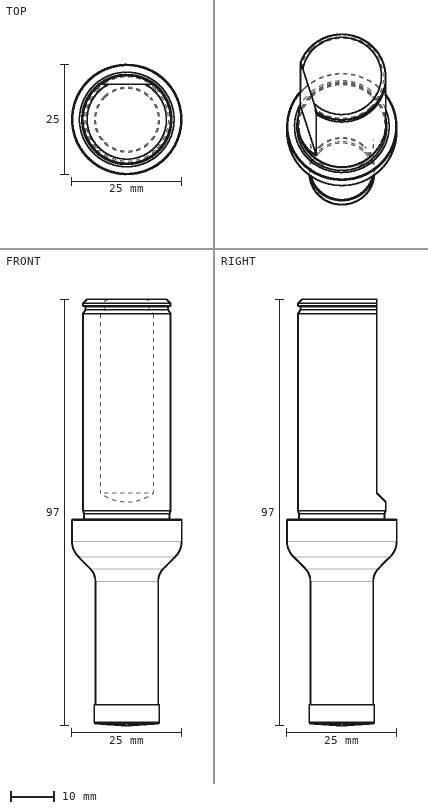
import cadquery as cq
import math

total_height = 97.0
tip_edge_z = 0.5
tip_chamfer = 0.3
tip_top_z = 4.85
stem_top_z = 32.9
flange_bottom_z = 42.0
flange_top_z = 46.9
relief_top_z = 48.9

stem_radius = 14.4 / 2
tip_radius = 14.8 / 2
flange_radius = 25.0 / 2
relief_radius = 19.5 / 2
shank_radius = 20.0 / 2

flare_angle = math.radians(45)
flare_lower_radius = 4.1
flange_chamfer = 0.2

relief_taper_height = 0.7
undercut_radius = 10.8
undercut_depth = 0.2
undercut_fillet = 0.5

end_chamfer = 1.0
rim_height = 0.5
groove_depth = 0.6
groove_upper_taper = 0.3
groove_floor_height = 0.7
groove_lower_taper = 0.9

flat_offset = 8.0
flat_runout_z = 53.0
flat_runout_angle = math.radians(45)


def revolve_profile(profile):
    """Turn a closed XZ half profile around the Z axis."""
    return profile.close().revolve(360, (0, 0, 0), (0, 1, 0))


def flare_upper_radius():
    """Arc radius that makes the flare exactly span the stem and flange."""
    rise = flange_bottom_z - stem_top_z
    run = flange_radius - stem_radius
    excess = rise - run / math.tan(flare_angle)
    arc_share = math.sin(flare_angle) - (1 - math.cos(flare_angle)) / math.tan(flare_angle)
    return excess / arc_share - flare_lower_radius


def arc_offset(radius, angle):
    """Sideways and axial travel along an arc that starts parallel to Z."""
    return radius * (1 - math.cos(angle)), radius * math.sin(angle)


def lower_flare_point(angle):
    side, rise = arc_offset(flare_lower_radius, angle)
    return stem_radius + side, stem_top_z + rise


def upper_flare_point(angle):
    side, drop = arc_offset(flare_upper_radius(), angle)
    return flange_radius - side, flange_bottom_z - drop


def make_flat_cutter():
    """Prism beyond the flat, with its lower end sloping outwards."""
    reach = flange_radius - flat_offset
    drop = reach * math.tan(flat_runout_angle)
    return (
        cq.Workplane("YZ")
        .moveTo(flat_offset, flat_runout_z)
        .lineTo(flat_offset, total_height)
        .lineTo(flange_radius, total_height)
        .lineTo(flange_radius, flat_runout_z - drop)
        .close()
        .extrude(shank_radius, both=True)
    )


def make_holder():
    """Stem, flared flange and grooved cylindrical shank."""
    undercut_z = flange_top_z - undercut_depth
    fillet_side, fillet_rise = arc_offset(undercut_fillet, math.radians(45))
    fillet_middle = (relief_radius + fillet_side, undercut_z + undercut_fillet - fillet_rise)

    groove_radius = shank_radius - groove_depth
    rim_top_z = total_height - end_chamfer
    rim_bottom_z = rim_top_z - rim_height
    groove_top_z = rim_bottom_z - groove_upper_taper
    groove_bottom_z = groove_top_z - groove_floor_height
    shank_top_z = groove_bottom_z - groove_lower_taper

    profile = (
        cq.Workplane("XZ")
        .moveTo(0, tip_top_z)
        .lineTo(stem_radius, tip_top_z)
        .lineTo(stem_radius, stem_top_z)
        .threePointArc(lower_flare_point(flare_angle / 2), lower_flare_point(flare_angle))
        .lineTo(*upper_flare_point(flare_angle))
        .threePointArc(upper_flare_point(flare_angle / 2), (flange_radius, flange_bottom_z))
        .lineTo(flange_radius, flange_top_z - flange_chamfer)
        .lineTo(flange_radius - flange_chamfer, flange_top_z)
        .lineTo(undercut_radius, flange_top_z)
        .lineTo(relief_radius + undercut_fillet, undercut_z)
        .threePointArc(fillet_middle, (relief_radius, undercut_z + undercut_fillet))
        .lineTo(relief_radius, relief_top_z - relief_taper_height)
        .lineTo(shank_radius, relief_top_z)
        .lineTo(shank_radius, shank_top_z)
        .lineTo(groove_radius, groove_bottom_z)
        .lineTo(groove_radius, groove_top_z)
        .lineTo(shank_radius, rim_bottom_z)
        .lineTo(shank_radius, rim_top_z)
        .lineTo(shank_radius - end_chamfer, total_height)
        .lineTo(0, total_height)
    )
    return revolve_profile(profile).cut(make_flat_cutter())


def make_tip():
    """Short end piece with a shallow conical face and a chamfered rim."""
    profile = (
        cq.Workplane("XZ")
        .moveTo(0, 0)
        .lineTo(tip_radius - tip_chamfer, tip_edge_z)
        .lineTo(tip_radius, tip_edge_z + tip_chamfer)
        .lineTo(tip_radius, tip_top_z)
        .lineTo(0, tip_top_z)
    )
    return revolve_profile(profile)


holder = make_holder()
tip = make_tip()

result = cq.Compound.makeCompound([holder.val(), tip.val()])